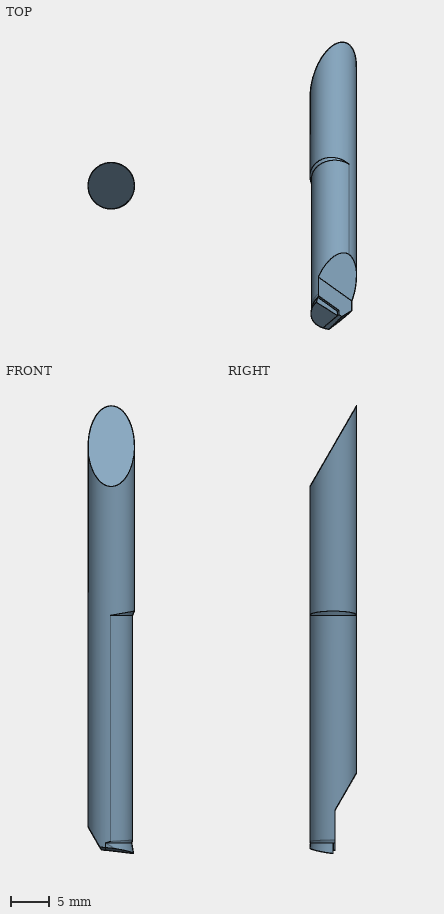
import cadquery as cq
import math

LENGTH = 57.45
BAR_RADIUS = 3.0
BEVEL_SLOPE = math.tan(math.radians(60))
TOP_BEVEL_HEIGHT = 2 * BAR_RADIUS * BEVEL_SLOPE

FLAT_Y = 0.25
LOWER_BEVEL_TOP = 10.35
LOWER_BEVEL_BOTTOM = LOWER_BEVEL_TOP - (BAR_RADIUS - FLAT_Y) * BEVEL_SLOPE
SIDE_BEVEL_TOP = 3.45
END_CLEARANCE = math.tan(math.radians(7))

CLEARANCE_X = -0.25
CLEARANCE_TOP = 30.55
RUNOUT_HEIGHT = 0.7
RUNOUT_WIDTH = 0.3

NECK_X = -0.3
NECK_RADIUS = 2.95
NECK_BOTTOM = 1.4
NECK_TOP = 1.95
NECK_SHOULDER_RADIUS = 3.1
FLARE_RADIUS = 3.15

TIP_LEFT = -0.75
TIP_TOP = NECK_BOTTOM
RAKE_Y = 0.0

MARGIN = 1.15
REACH = BAR_RADIUS + MARGIN


def block(x_range, y_range, z_range):
    """Axis-aligned box between the given limits."""
    sizes = [high - low for low, high in (x_range, y_range, z_range)]
    corner = (x_range[0], y_range[0], z_range[0])
    return cq.Workplane("XY").box(*sizes, centered=False).translate(corner)


def revolved_about(axis_x, profile):
    """Turn a (radius, z) profile about a vertical axis at X = axis_x."""
    turned = cq.Workplane("XZ").polyline(profile).close().revolve(360, (0, 0, 0), (0, 1, 0))
    return turned.translate((axis_x, 0, 0))


def bevelled_bar():
    """Round bar with its top bevel, lower bevel and flat."""
    outline = [
        (-BAR_RADIUS, 0),
        (FLAT_Y, 0),
        (FLAT_Y, LOWER_BEVEL_BOTTOM),
        (BAR_RADIUS, LOWER_BEVEL_TOP),
        (BAR_RADIUS, LENGTH),
        (-BAR_RADIUS, LENGTH - TOP_BEVEL_HEIGHT),
    ]
    side_profile = cq.Workplane("YZ").polyline(outline).close().extrude(REACH, both=True)
    return cq.Workplane("XY").circle(BAR_RADIUS).extrude(LENGTH).intersect(side_profile)


def side_bevel():
    """Wedge removed from the lower -X corner."""
    drop = SIDE_BEVEL_TOP + MARGIN
    rise = MARGIN * BEVEL_SLOPE
    outline = [
        (-REACH, -MARGIN),
        (-BAR_RADIUS + drop / BEVEL_SLOPE, -MARGIN),
        (-REACH, SIDE_BEVEL_TOP + rise),
    ]
    return cq.Workplane("XZ").polyline(outline).close().extrude(REACH, both=True)


def end_clearance():
    """Material below the end face, which rises from the cutting corner toward -X and -Y."""
    corner = cq.Vector(NECK_X + FLARE_RADIUS, RAKE_Y, 0)
    downward = cq.Vector(-END_CLEARANCE, -END_CLEARANCE, -1)
    plane = cq.Plane(origin=corner, xDir=(1, 0, -END_CLEARANCE), normal=downward)
    return cq.Workplane(plane).rect(4 * REACH, 4 * REACH).extrude(REACH)


def clearance_envelope():
    """Solid left inside the eccentric clearance, its runout and the flared neck."""
    runout_top = CLEARANCE_TOP + RUNOUT_HEIGHT
    wide = 2 * REACH
    body = revolved_about(CLEARANCE_X, [
        (0, 0),
        (wide, 0),
        (wide, NECK_BOTTOM),
        (BAR_RADIUS, NECK_BOTTOM),
        (BAR_RADIUS, CLEARANCE_TOP),
        (BAR_RADIUS + RUNOUT_WIDTH, runout_top),
        (wide, runout_top),
        (wide, LENGTH),
        (0, LENGTH),
    ])
    neck = revolved_about(NECK_X, [
        (0, 0),
        (FLARE_RADIUS, 0),
        (NECK_RADIUS, NECK_BOTTOM),
        (NECK_SHOULDER_RADIUS, NECK_TOP),
        (wide, NECK_TOP),
        (wide, LENGTH),
        (0, LENGTH),
    ])
    full_round = block((-wide, TIP_LEFT), (-wide, wide), (-MARGIN, LENGTH))
    return body.intersect(neck).union(full_round)


def ground_blank():
    """Complete outer form of the tool."""
    ground = bevelled_bar().cut(side_bevel()).cut(end_clearance())
    return ground.intersect(clearance_envelope())


def make_shank(blank):
    """Tool body with the tip recess cut out of its lower corner."""
    recess = block((TIP_LEFT, REACH), (-REACH, REACH), (-MARGIN, TIP_TOP))
    return blank.cut(recess)


def make_tip(blank):
    """Cutting tip filling the recess up to its rake face."""
    return blank.intersect(block((TIP_LEFT, REACH), (-REACH, RAKE_Y), (-MARGIN, TIP_TOP)))


blank = ground_blank()
shank = make_shank(blank)
tip = make_tip(blank)

result = cq.Compound.makeCompound([shank.val(), tip.val()])